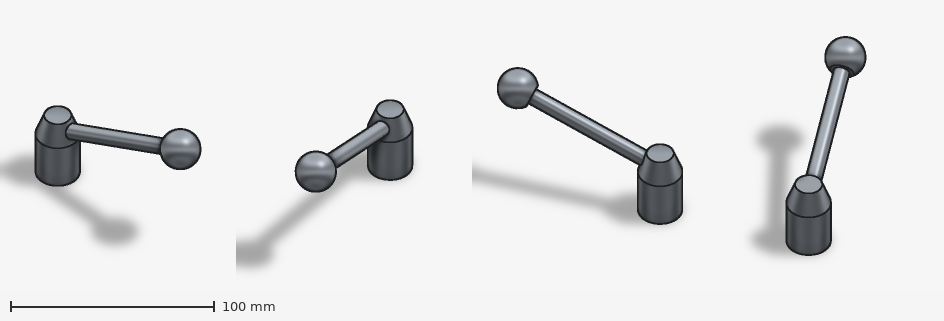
import cadquery as cq
import math

overall_length = 96.0
overall_height = 65.1

hub_diameter = 22.0
hub_straight_height = 25.0
hub_height = 37.0
hub_top_diameter = 13.3

arm_diameter = 8.0
arm_angle = 20.0
ball_diameter = 20.0
ball_flat_diameter = 12.0

hub_radius = hub_diameter / 2
ball_radius = ball_diameter / 2
ball_x = overall_length - hub_radius - ball_radius
ball_z = overall_height - ball_radius
arm_length = ball_x / math.cos(math.radians(arm_angle))
flat_distance = math.sqrt(ball_radius**2 - (ball_flat_diameter / 2) ** 2)


def make_hub():
    """Revolve the cylinder and cone profile about Z."""
    return (
        cq.Workplane("XZ")
        .lineTo(hub_radius, 0)
        .lineTo(hub_radius, hub_straight_height)
        .lineTo(hub_top_diameter / 2, hub_height)
        .lineTo(0, hub_height)
        .close()
        .revolve(360, (0, 0), (0, 1))
    )


def make_arm_and_ball():
    """Build the arm along +X with the ball centre at the origin, then tilt and place it."""
    arm = cq.Workplane("YZ").workplane(offset=-arm_length).circle(arm_diameter / 2).extrude(arm_length)
    ball = (
        cq.Workplane("XY")
        .moveTo(-flat_distance, 0)
        .lineTo(-flat_distance, ball_flat_diameter / 2)
        .threePointArc((0, ball_radius), (ball_radius, 0))
        .close()
        .revolve(360, (0, 0), (1, 0))
    )
    return (
        arm.union(ball)
        .rotate((0, 0, 0), (0, 1, 0), -arm_angle)
        .translate((ball_x, 0, ball_z))
    )


result = make_hub().union(make_arm_and_ball())